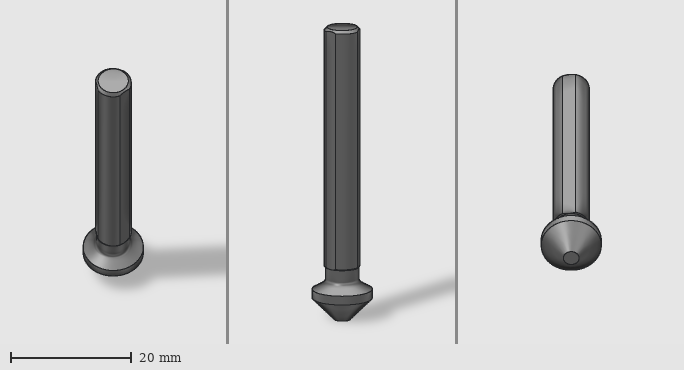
import cadquery as cq
import math

total_length = 50.0

head_radius = 5.0
tip_radius = 1.3
cutting_angle = 45.0
rim_height = 1.5
back_angle = 30.0
back_fillet = 0.9

neck_radius = 2.8
neck_top = 9.0
shank_radius = 3.0
shank_chamfer = 0.5
flat_count = 3
flat_distance = 2.8

rim_bottom = (head_radius - tip_radius) / math.tan(math.radians(cutting_angle))
rim_top = rim_bottom + rim_height
back_slope = math.tan(math.radians(back_angle))
back_top = rim_top + (head_radius - neck_radius) * back_slope
shank_length = total_length - neck_top


def make_head_and_neck():
    """Revolve the head and neck, blending the conical back into the neck."""
    angle = math.radians(back_angle)
    tangent_length = back_fillet * math.tan((math.pi / 2 - angle) / 2)
    blend_start = (
        neck_radius + tangent_length * math.cos(angle),
        back_top - tangent_length * math.sin(angle),
    )
    blend_end = (neck_radius, back_top + tangent_length)
    middle_angle = (math.pi / 2 - angle) / 2
    blend_middle = (
        neck_radius + back_fillet * (1 - math.cos(middle_angle)),
        blend_end[1] - back_fillet * math.sin(middle_angle),
    )
    return (
        cq.Workplane("XZ")
        .lineTo(tip_radius, 0)
        .lineTo(head_radius, rim_bottom)
        .lineTo(head_radius, rim_top)
        .lineTo(*blend_start)
        .threePointArc(blend_middle, blend_end)
        .lineTo(neck_radius, neck_top)
        .lineTo(0, neck_top)
        .close()
        .revolve(360, (0, 0, 0), (0, 1, 0))
    )


def make_shank():
    """Chamfered cylinder with equally spaced flats along its full length."""
    shank = (
        cq.Workplane("XY", origin=(0, 0, neck_top))
        .circle(shank_radius)
        .extrude(shank_length)
        .faces(">Z")
        .chamfer(shank_chamfer)
        .faces("<Z")
        .chamfer(shank_radius - neck_radius)
    )
    for index in range(flat_count):
        flat_cutter = (
            cq.Workplane("XY", origin=(0, 0, neck_top))
            .center(flat_distance + shank_radius / 2, 0)
            .rect(shank_radius, 2 * shank_radius)
            .extrude(shank_length)
            .rotate((0, 0, 0), (0, 0, 1), index * 360 / flat_count)
        )
        shank = shank.cut(flat_cutter)
    return shank


result = make_head_and_neck().union(make_shank())